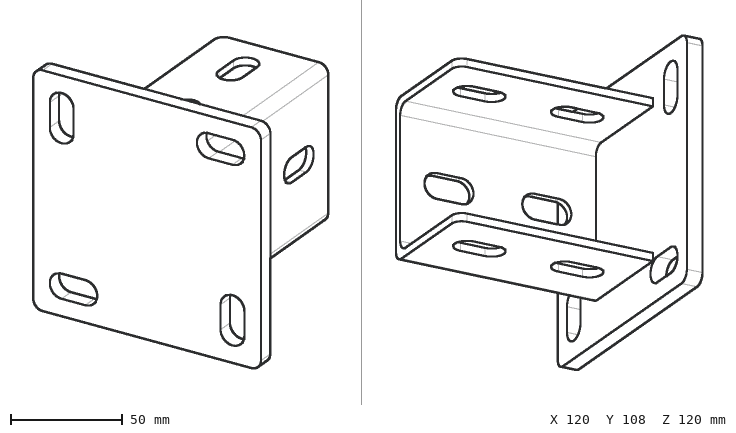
import cadquery as cq

plate_side = 120.0
plate_thickness = 8.0
corner_radius = 5.0

slot_length = 25.0
slot_width = 12.5
plate_slot_margin = 8.8

total_depth = 108.0
channel_length = total_depth - plate_thickness
channel_width = 57.0
channel_height = 79.0
wall = 4.0
outer_bend_radius = 5.0
inner_bend_radius = 5.0
channel_slot_spacing = channel_length / 2
flange_slot_x = -3.6


def make_plate():
    """Rounded plate with four slots, each turned a quarter from the last."""
    plate = (
        cq.Workplane("XY")
        .box(plate_side, plate_thickness, plate_side)
        .translate((0, plate_thickness / 2, 0))
        .edges("|Y")
        .fillet(corner_radius)
    )
    near_edge = plate_side / 2 - plate_slot_margin
    along = near_edge - slot_length / 2
    across = near_edge - slot_width / 2
    slot = (
        cq.Workplane("XZ")
        .center(along, across)
        .slot2D(slot_length, slot_width)
        .extrude(-plate_thickness)
    )
    for quarter in range(4):
        plate = plate.cut(slot.rotate((0, 0, 0), (0, 1, 0), 90 * quarter))
    return plate


def make_channel():
    """Bent U-channel standing on the back face of the plate."""
    middle_y = plate_thickness + channel_length / 2
    inner_height = channel_height - 2 * wall
    outside = (
        cq.Workplane("XY")
        .box(channel_width, channel_length, channel_height)
        .edges("|Y and >X")
        .fillet(outer_bend_radius)
        .edges("|Z and <X and >Y")
        .fillet(corner_radius)
    )
    inside = (
        cq.Workplane("XY")
        .box(channel_width, channel_length, inner_height)
        .edges("|Y and >X")
        .fillet(inner_bend_radius)
        .translate((-wall, 0, 0))
    )
    return outside.cut(inside).translate((0, middle_y, 0))


def cut_channel_slots(body):
    """Two slots along Y through both flanges, and two through the web."""
    middle_y = plate_thickness + channel_length / 2
    slot_centres_y = [
        middle_y - channel_slot_spacing / 2,
        middle_y + channel_slot_spacing / 2,
    ]
    flange_slots = (
        cq.Workplane("XY")
        .pushPoints([(flange_slot_x, y) for y in slot_centres_y])
        .slot2D(slot_length, slot_width, 90)
        .extrude(channel_height / 2, both=True)
    )
    web_slots = (
        cq.Workplane("YZ")
        .workplane(offset=channel_width / 2 - wall)
        .pushPoints([(y, 0) for y in slot_centres_y])
        .slot2D(slot_length, slot_width)
        .extrude(wall)
    )
    return body.cut(flange_slots).cut(web_slots)


result = cut_channel_slots(make_plate().union(make_channel()))